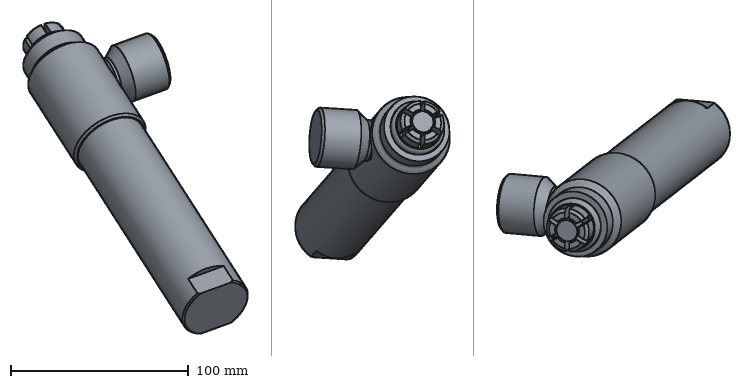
import cadquery as cq

total_length = 225.5
body_radius = 22.5
tube_radius = 20.5

nose_face = 0.5
nose_radius = 12.6
nose_chamfer_length = 1.4
nose_chamfer_depth = 2.0
nose_end = 10.2
slot_count = 6
slot_width = 2.5
slot_floor_depth = 1.0
slot_end = nose_end + slot_floor_depth
slot_floor_radius = 10.4
pin_diameter = 12.5
pin_radius = pin_diameter / 2
pin_groove_radius = 7.2
pin_groove_depth = 0.7

shoulder_start_radius = 13.3
shoulder_crest = 13.0
shoulder_crest_radius = 15.5
shoulder_end = 15.1
shoulder_end_radius = 15.1
collar_radius = 19.0
collar_end = 25.0
collar_blend_radius = 4.5

body_start = 27.3
body_start_radius = 21.0
body_chamfer_end = 28.9
body_end = 89.5
body_end_chamfer = 1.4

tube_end_chamfer = 1.0
flat_spacing = 34.5
flat_length = 12.9

port_x = 44.7
port_diameter = 33.6
port_radius = port_diameter / 2
port_top = 51.7
port_cone_top = 29.0
port_cone_bottom = 23.0
port_neck_radius = 11.7
port_neck_bottom = 21.2
port_root_bottom = 19.0
port_root_radius = 10.4
port_chamfer = 1.5


def revolved_barrel():
    """All the coaxial stages, from the nose to the tube end."""
    profile = (
        cq.Workplane("XY")
        .moveTo(0, 0)
        .lineTo(0, pin_radius)
        .lineTo(nose_face + pin_groove_depth, pin_radius)
        .lineTo(nose_face, pin_groove_radius)
        .lineTo(nose_face, nose_radius - nose_chamfer_depth)
        .lineTo(nose_face + nose_chamfer_length, nose_radius)
        .lineTo(nose_end, nose_radius)
        .lineTo(nose_end, shoulder_start_radius)
        .threePointArc((shoulder_crest, shoulder_crest_radius), (shoulder_end, shoulder_end_radius))
        .lineTo(shoulder_end, collar_radius)
        .lineTo(collar_end, collar_radius)
        .radiusArc((body_start, body_start_radius), -collar_blend_radius)
        .lineTo(body_chamfer_end, body_radius)
        .lineTo(body_end - body_end_chamfer, body_radius)
        .lineTo(body_end, body_radius - body_end_chamfer)
        .lineTo(body_end, tube_radius)
        .lineTo(total_length - tube_end_chamfer, tube_radius)
        .lineTo(total_length, tube_radius - tube_end_chamfer)
        .lineTo(total_length, 0)
        .close()
    )
    return profile.revolve(360, (0, 0, 0), (1, 0, 0))


def side_port():
    """Stepped round port with a tapered neck and root, reaching into the body."""
    profile = (
        cq.Workplane("XY")
        .moveTo(port_x, 0)
        .lineTo(port_x + port_root_radius, 0)
        .lineTo(port_x + port_root_radius, port_root_bottom)
        .lineTo(port_x + port_neck_radius, port_neck_bottom)
        .lineTo(port_x + port_neck_radius, port_cone_bottom)
        .lineTo(port_x + port_radius, port_cone_top)
        .lineTo(port_x + port_radius, port_top - port_chamfer)
        .lineTo(port_x + port_radius - port_chamfer, port_top)
        .lineTo(port_x, port_top)
        .close()
    )
    return profile.revolve(360, (port_x, 0, 0), (port_x, 1, 0))


def nose_slots():
    """Radial slots from the centre pin outward, with a floor that slopes forward at its outer end."""
    slot_zone = (
        cq.Workplane("XY")
        .moveTo(0, pin_radius)
        .lineTo(0, body_radius)
        .lineTo(nose_end, body_radius)
        .lineTo(nose_end, nose_radius)
        .lineTo(slot_end, slot_floor_radius)
        .lineTo(slot_end, pin_radius)
        .close()
        .revolve(360, (0, 0, 0), (1, 0, 0))
    )
    slot = cq.Workplane("XY").box(slot_end, slot_width, body_radius, centered=(False, True, False))
    slots = cq.Workplane("XY")
    for index in range(slot_count):
        slots = slots.union(slot.rotate((0, 0, 0), (1, 0, 0), index * 360 / slot_count))
    return slots.intersect(slot_zone)


def tube_flats():
    """Two parallel wrench flats, above and below the tube end."""
    flats = cq.Workplane("XY")
    for side in (1, -1):
        flats = flats.union(
            cq.Workplane("XY")
            .box(flat_length, 2 * body_radius, body_radius, centered=(False, True, False))
            .translate((total_length - flat_length, 0, flat_spacing / 2))
            .rotate((0, 0, 0), (1, 0, 0), 90 - 90 * side)
        )
    return flats


result = revolved_barrel().union(side_port()).cut(nose_slots()).cut(tube_flats())